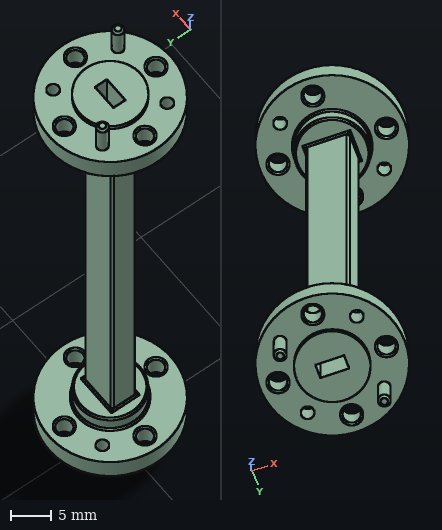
import cadquery as cq


overall_length = 84.1
pin_projection = 4.6
face_boss_height = 0.7
flange_thickness = 3.4
collar_height = 2.35

flange_diameter = 19.1
boss_diameter = 9.5
pin_diameter = 1.6
pin_hole_diameter = 1.7
pin_chamfer = 0.3
screw_hole_diameter = 2.3
screw_countersink_diameter = 2.9
screw_countersink_depth = 0.2
hole_circle_diameter = 14.3

collar_chamfer = 0.25
collar_bead_leg = 0.25

bore_width = 3.8
bore_depth = 1.85
wall_thickness = 1.0
tube_corner_chamfer = 0.3
braze_leg = 0.25

tube_width = bore_width + 2 * wall_thickness
tube_depth = bore_depth + 2 * wall_thickness
hole_circle_radius = hole_circle_diameter / 2
pin_end_z = overall_length / 2
flange_outer_z = pin_end_z - pin_projection
flange_inner_z = flange_outer_z - flange_thickness
collar_end_z = flange_inner_z - collar_height
boss_face_z = flange_outer_z + face_boss_height


def cylinder(diameter, z_low, z_high):
    """Round bar on the Z axis between two heights."""
    return cq.Workplane("XY").workplane(offset=z_low).circle(diameter / 2).extrude(z_high - z_low)


def on_hole_circle(body, angle):
    """Move a body from the axis to the hole circle at an angle in degrees."""
    return body.translate((hole_circle_radius, 0, 0)).rotate((0, 0, 0), (0, 0, 1), angle)


def screw_hole_cutter():
    """Through hole with a small countersink on both flange faces."""
    hole = cylinder(screw_hole_diameter, flange_inner_z, flange_outer_z)
    for face_z, inward in ((flange_inner_z, 1), (flange_outer_z, -1)):
        cone = cq.Solid.makeCone(
            screw_countersink_diameter / 2,
            screw_hole_diameter / 2,
            screw_countersink_depth,
            cq.Vector(0, 0, face_z),
            cq.Vector(0, 0, inward),
        )
        hole = hole.union(cq.Workplane(obj=cone))
    return hole


def upper_flange():
    """Flange with face boss, collar, screw holes, two pins and two pin holes."""
    flange = cylinder(flange_diameter, flange_inner_z, flange_outer_z)
    flange = flange.union(cylinder(boss_diameter, flange_outer_z, boss_face_z))
    collar = cylinder(boss_diameter, collar_end_z, flange_inner_z).faces("<Z").chamfer(collar_chamfer)
    bead = cq.Solid.makeCone(
        boss_diameter / 2 + collar_bead_leg,
        boss_diameter / 2,
        collar_bead_leg,
        cq.Vector(0, 0, flange_inner_z),
        cq.Vector(0, 0, -1),
    )
    flange = flange.union(collar).union(cq.Workplane(obj=bead))

    for angle in (0, 90, 180, 270):
        flange = flange.cut(on_hole_circle(screw_hole_cutter(), angle))

    pin_hole = cylinder(pin_hole_diameter, flange_inner_z, flange_outer_z)
    for angle in (45, 225):
        flange = flange.cut(on_hole_circle(pin_hole, angle))

    pin_root_z = (flange_inner_z + flange_outer_z) / 2
    pin = cylinder(pin_diameter, pin_root_z, pin_end_z).faces(">Z").chamfer(pin_chamfer)
    for angle in (135, 315):
        flange = flange.union(on_hole_circle(pin, angle))
    return flange


def upper_braze():
    """Sloped bead around the tube where it meets the collar."""
    bead = (
        cq.Workplane("XY")
        .workplane(offset=collar_end_z)
        .rect(tube_width + 2 * braze_leg, tube_depth + 2 * braze_leg)
        .workplane(offset=-braze_leg)
        .rect(tube_width, tube_depth)
        .loft(ruled=True)
    )
    return bead


tube = (
    cq.Workplane("XY")
    .rect(tube_width, tube_depth)
    .extrude(collar_end_z, both=True)
    .edges("|Z")
    .chamfer(tube_corner_chamfer)
)

upper_end = upper_flange().union(upper_braze())
lower_end = upper_end.rotate((0, 0, 0), (1, 0, 0), 180)

bore = cq.Workplane("XY").rect(bore_width, bore_depth).extrude(boss_face_z, both=True)

result = tube.union(upper_end).union(lower_end).cut(bore)